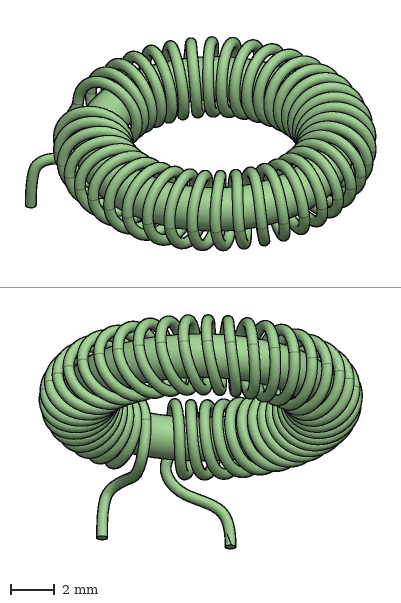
import cadquery as cq
import math


core_ring_radius = 5.47
core_section_radius = 1.0

wire_radius = 0.25
coil_ring_radius = 5.58
loop_radius = 1.6
full_turns = 39
start_angle = 180.0
covered_angle = 335.0
loop_tilt = 3.7
coil_end = full_turns + 0.5
points_per_turn = 12
small_turn = 0.001

lead_end_x = -8.0
lead_end_y = 3.01
lead_end_z = -4.19

first_lead_bends = [
    (-7.81, 2.63, -2.67),
    (-7.8, 1.16, -1.96),
    (-7.7, 0.33, -1.54),
    (-7.43, -0.14, -0.7),
]

last_lead_bends = [
    (-3.92, -1.95, -1.57),
    (-4.78, -1.98, -1.98),
    (-6.22, -2.09, -1.85),
    (-7.21, -2.38, -1.75),
    (-7.8, -2.79, -2.07),
    (-7.93, -2.95, -2.67),
]


def make_core():
    """Plain round-section ring."""
    section = cq.Workplane("XZ").center(core_ring_radius, 0).circle(core_section_radius)
    return section.revolve(360, (-core_ring_radius, 0), (-core_ring_radius, 1))


def coil_point(turn):
    """Wire centre after a number of turns; whole turns lie on the outside at Z = 0."""
    loop_angle = 2 * math.pi * turn
    lean = loop_tilt * (1 - math.cos(loop_angle))
    ring_angle = math.radians(start_angle - covered_angle / full_turns * turn + lean)
    radius = coil_ring_radius + loop_radius * math.cos(loop_angle)
    return cq.Vector(
        radius * math.cos(ring_angle),
        radius * math.sin(ring_angle),
        loop_radius * math.sin(loop_angle),
    )


def coil_velocity(turn):
    """Change of the wire centre per turn."""
    return (coil_point(turn + small_turn) - coil_point(turn - small_turn)) / (2 * small_turn)


def coil_stretch(start_turn, end_turn):
    """Centreline of the coil between two turn counts."""
    steps = round((end_turn - start_turn) * points_per_turn)
    turns = [start_turn + step / points_per_turn for step in range(steps + 1)]
    return cq.Edge.makeSpline(
        [coil_point(turn) for turn in turns],
        tangents=[coil_velocity(start_turn), coil_velocity(end_turn)],
        parameters=turns,
        scale=False,
    )


def lead_curve(points, start_direction, end_direction):
    """Smooth centreline of a lead through the points, with both end directions fixed."""
    directions = [start_direction.normalized(), end_direction.normalized()]
    return cq.Edge.makeSpline(points, tangents=directions, scale=False)


def make_winding():
    """Both leads and the coil, swept as a single wire with smooth joins."""
    first_end = cq.Vector(lead_end_x, lead_end_y, lead_end_z)
    first_points = [first_end] + [cq.Vector(*bend) for bend in first_lead_bends] + [coil_point(0)]
    first_lead = lead_curve(first_points, cq.Vector(0, 0, 1), coil_velocity(0))

    coil = [coil_stretch(turn, turn + 1) for turn in range(full_turns)]
    coil.append(coil_stretch(full_turns, coil_end))

    last_end = cq.Vector(lead_end_x, -lead_end_y, lead_end_z)
    last_points = [coil_point(coil_end)] + [cq.Vector(*bend) for bend in last_lead_bends] + [last_end]
    last_lead = lead_curve(last_points, coil_velocity(coil_end), cq.Vector(0, 0, -1))

    centreline = cq.Wire.assembleEdges([first_lead, *coil, last_lead])
    section = cq.Workplane("XY", origin=first_end.toTuple()).circle(wire_radius)
    return section.sweep(cq.Workplane(obj=centreline), isFrenet=True)


core = make_core()
winding = make_winding()
result = cq.Compound.makeCompound([core.val(), winding.val()])